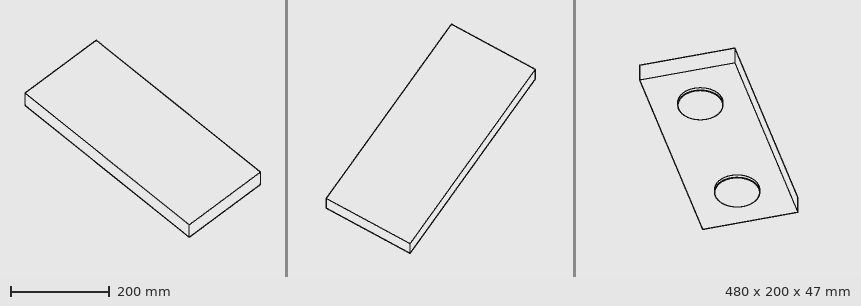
import cadquery as cq

length = 480.0
width = 200.0
total_height = 47.0

foot_height = 7.0
foot_diameter = 92.0
foot_edge_chamfer = 1.0
foot_spacing = 280.0

plate_thickness = total_height - foot_height


def make_plate():
    """Plain rectangular plate, resting on the plane Z = 0."""
    return cq.Workplane("XY").box(length, width, plate_thickness, centered=(True, True, False))


def make_foot(x):
    """Flat disc hanging from the plate's underside, its lower rim chamfered."""
    disc = cq.Workplane("XY").center(x, 0).circle(foot_diameter / 2).extrude(-foot_height)
    return disc.faces("<Z").edges().chamfer(foot_edge_chamfer)


plate = make_plate()

feet = []
for side in (-1, 1):
    feet.append(make_foot(side * foot_spacing / 2).val())

result = cq.Compound.makeCompound([plate.val(), *feet])